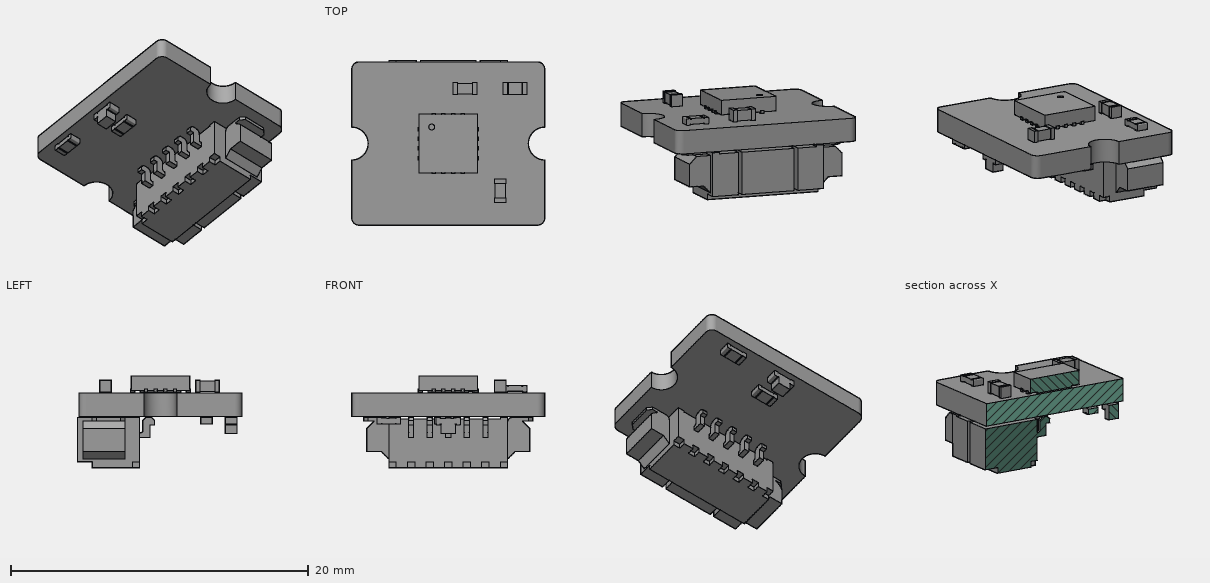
import cadquery as cq


BOARD_X = 13.0
BOARD_Y = 11.0
BOARD_T = 1.6
BOARD_CORNER_R = 0.5
NOTCH_R = 1.1

STANDOFF = 0.05
TOP_SEAT = BOARD_T + STANDOFF
BOTTOM_SEAT = -STANDOFF

CHIP_SIZE = 3.95
CHIP_H = 1.1
CHIP_CLEARANCE = 0.1
LEAD_COUNT = 4
LEAD_PITCH = 0.65
LEAD_W = 0.23
LEAD_L = 0.3
LEAD_H = 0.2
LEAD_OVERHANG = 0.05
THERMAL_PAD = 2.75
THERMAL_PAD_CHAMFER = 0.25
DOT_D = 0.4
DOT_DEPTH = 0.1
DOT_OFFSET = 1.115

TERMINAL_L = 0.3
CHIP_PART_L = 1.6
CHIP_PART_W = 0.8
PLATING = 0.05

CAPACITOR_H = 0.8
CAPACITOR_INSET = 0.04
CAPACITOR_PLACES = [(1.12, 3.7, 0), (3.5, -3.17, 90)]

RESISTOR_H = 0.45
FILM_GAP = 0.05
TOP_RESISTOR_PLACE = (4.5, 3.7)
FRONT_ROW_Y = -4.75
BOTTOM_RESISTOR_PLACES = [(-4.0, FRONT_ROW_Y), (-0.13, -3.1)]

LED_BASE_L = 1.65
LED_BASE_H = 0.5
LENS_L = 0.95
LENS_H = 0.6

HOUSING_W = 8.0
HOUSING_BACK_Y = 1.4
HOUSING_L = 4.2
HOUSING_MOUTH_Y = HOUSING_BACK_Y + HOUSING_L
HOUSING_H = 3.4
HOUSING_BOTTOM = BOTTOM_SEAT - HOUSING_H
LIP_L = 1.0
LIP_STEP = 0.4
RAIL_W = 0.5
RAIL_H = 0.1
KEY_SLOT_X = 2.015
KEY_SLOT_W = 0.27
PIN_PITCH = 1.25
PIN_COUNT = 5
FOOT_NOTCH_W = 0.5
FOOT_NOTCH_L = 0.5
FOOT_NOTCH_H = 0.4

EAR_REACH = 1.5
EAR_BACK_Y = 2.4
EAR_L = 2.8
EAR_TOP = -0.3
EAR_BOTTOM = -2.36
EAR_CHAMFER = 0.5

TAB_T = 0.25
TAB_L = 2.2
TAB_REACH = 1.7
TAB_CHAMFER = 0.3
TAB_FOOT_REACH = 0.8
TAB_H = 1.62
TAB_OUTER_R = 0.3
TAB_INNER_R = 0.05

PIN_W = 0.35
PIN_ARM_TOP = -1.07
PIN_ARM_BOTTOM = -1.42
PIN_ROOT_L = 0.5
PIN_ROOT_BOTTOM = -1.67
PIN_LEG_INNER_Y = 1.2
PIN_LEG_T = 0.5
PIN_TOE_Y = 0.4
PIN_TOE_BOTTOM = -0.57
PIN_CHAMFER = 0.2
PIN_BEND_R = 0.1


def box(length, width, height, x=0.0, y=0.0, z=0.0):
    """Box centred on (x, y) with its underside at z."""
    return cq.Workplane("XY").box(length, width, height, centered=(True, True, False)).translate((x, y, z))


def centred_row(count, pitch):
    """Positions of a row of equally spaced items centred on zero."""
    return [(i - (count - 1) / 2) * pitch for i in range(count)]


def make_board():
    board = box(BOARD_X, BOARD_Y, BOARD_T).edges("|Z").fillet(BOARD_CORNER_R)
    edge_centres = [(-BOARD_X / 2, 0), (BOARD_X / 2, 0)]
    notches = cq.Workplane("XY").pushPoints(edge_centres).circle(NOTCH_R).extrude(BOARD_T)
    return board.cut(notches)


def make_chip():
    chip = box(CHIP_SIZE, CHIP_SIZE, CHIP_H - CHIP_CLEARANCE, z=CHIP_CLEARANCE)
    dot = cq.Workplane("XY", origin=(-DOT_OFFSET, DOT_OFFSET, CHIP_H)).circle(DOT_D / 2).extrude(-DOT_DEPTH)
    chip = chip.cut(dot)
    pad = box(THERMAL_PAD, THERMAL_PAD, CHIP_CLEARANCE)
    pad = pad.edges("|Z and <X and >Y").chamfer(THERMAL_PAD_CHAMFER)
    chip = chip.union(pad)
    lead_x = CHIP_SIZE / 2 + LEAD_OVERHANG - LEAD_L / 2
    for side_angle in (0, 90, 180, 270):
        for y in centred_row(LEAD_COUNT, LEAD_PITCH):
            lead = box(LEAD_L, LEAD_W, LEAD_H, lead_x, y)
            chip = chip.union(lead.rotate((0, 0, 0), (0, 0, 1), side_angle))
    return chip.translate((0, 0, TOP_SEAT))


def make_capacitor(x, y, angle):
    body = box(
        CHIP_PART_L - 2 * TERMINAL_L,
        CHIP_PART_W - 2 * CAPACITOR_INSET,
        CAPACITOR_H - 2 * CAPACITOR_INSET,
        z=CAPACITOR_INSET,
    )
    for side in (-1, 1):
        terminal_x = side * (CHIP_PART_L - TERMINAL_L) / 2
        body = body.union(box(TERMINAL_L, CHIP_PART_W, CAPACITOR_H, terminal_x))
    return body.rotate((0, 0, 0), (0, 0, 1), angle).translate((x, y, TOP_SEAT))


def make_plated_core(length, height):
    """Ceramic core with a C-shaped plated terminal round each end, seated on Z = 0.

    The core's sides are flush with the terminals; the seams stay as face borders.
    """
    core = box(length - 2 * PLATING, CHIP_PART_W, height - 2 * PLATING, z=PLATING)
    part = core
    for side in (-1, 1):
        terminal = box(TERMINAL_L, CHIP_PART_W, height, side * (length - TERMINAL_L) / 2)
        terminal = terminal.edges("|Y").edges(">X" if side > 0 else "<X").fillet(PLATING)
        part = part.union(terminal.cut(core), clean=False)
    return part


def make_resistor():
    film_l = CHIP_PART_L - 2 * (TERMINAL_L + FILM_GAP)
    film = box(film_l, CHIP_PART_W, PLATING, z=RESISTOR_H - PLATING)
    return make_plated_core(CHIP_PART_L, RESISTOR_H).union(film, clean=False)


def make_led():
    lens = box(LENS_L, CHIP_PART_W, LENS_H + PLATING, z=LED_BASE_H - PLATING)
    return make_plated_core(LED_BASE_L, LED_BASE_H).union(lens, clean=False)


def hang_below_board(part, x, y):
    """Turn a part upside down and seat it on the underside of the board."""
    return part.rotate((0, 0, 0), (1, 0, 0), 180).translate((x, y, BOTTOM_SEAT))


def make_housing():
    mid_y = HOUSING_BACK_Y + HOUSING_L / 2
    housing = box(HOUSING_W, HOUSING_L, HOUSING_H, y=mid_y, z=HOUSING_BOTTOM)
    relief = box(HOUSING_W - 2 * RAIL_W, HOUSING_L, RAIL_H, y=mid_y, z=BOTTOM_SEAT - RAIL_H)
    lip_y = HOUSING_MOUTH_Y - LIP_L / 2
    step = box(HOUSING_W, LIP_L, LIP_STEP, y=lip_y, z=HOUSING_BOTTOM)
    housing = housing.cut(relief).cut(step)
    for side in (-1, 1):
        housing = housing.cut(box(KEY_SLOT_W, LIP_L, HOUSING_H, side * KEY_SLOT_X, lip_y, HOUSING_BOTTOM))
    corner_x = (HOUSING_W - FOOT_NOTCH_W) / 2
    notch_y = HOUSING_BACK_Y + FOOT_NOTCH_L / 2
    for x in [-corner_x, *centred_row(PIN_COUNT, PIN_PITCH), corner_x]:
        housing = housing.cut(box(FOOT_NOTCH_W, FOOT_NOTCH_L, FOOT_NOTCH_H, x, notch_y, HOUSING_BOTTOM))
    return housing


def make_ear():
    """Ear on the +X side of the housing."""
    root_x = HOUSING_W / 2
    tip_x = root_x + EAR_REACH
    outline = [
        (root_x, EAR_TOP),
        (tip_x - EAR_CHAMFER, EAR_TOP),
        (tip_x, EAR_TOP - EAR_CHAMFER),
        (tip_x, EAR_BOTTOM),
        (root_x + EAR_CHAMFER, EAR_BOTTOM),
        (root_x, EAR_BOTTOM - EAR_CHAMFER),
    ]
    return cq.Workplane("XZ", origin=(0, EAR_BACK_Y, 0)).polyline(outline).close().extrude(-EAR_L)


def make_tab():
    """Solder tab on the +X side: a C-shaped strip with its back to the housing."""
    root_x = HOUSING_W / 2
    mid_y = EAR_BACK_Y + TAB_L / 2
    bottom = BOTTOM_SEAT - TAB_H
    outer = box(TAB_REACH, TAB_L, TAB_H, root_x + TAB_REACH / 2, mid_y, bottom)
    outer = outer.edges("|Y and <X").fillet(TAB_OUTER_R)
    hollow = box(TAB_REACH, TAB_L, TAB_H - 2 * TAB_T, root_x + TAB_T + TAB_REACH / 2, mid_y, bottom + TAB_T)
    hollow = hollow.edges("|Y and <X").fillet(TAB_INNER_R)
    foot_excess_l = TAB_REACH - TAB_FOOT_REACH
    foot_excess = box(
        foot_excess_l, TAB_L, TAB_H - TAB_T, root_x + TAB_REACH - foot_excess_l / 2, mid_y, bottom
    )
    tab = outer.cut(hollow).cut(foot_excess)
    return tab.edges("|Z and >X").chamfer(TAB_CHAMFER)


def make_pin():
    """Pin on the X = 0 plane: arm out of the housing, leg up to a toe under the board."""
    leg_outer_y = PIN_LEG_INNER_Y - PIN_LEG_T
    toe_shoulder = BOTTOM_SEAT - PIN_CHAMFER
    pin = (
        cq.Workplane("YZ", origin=(-PIN_W / 2, 0, 0))
        .moveTo(HOUSING_BACK_Y, PIN_ARM_BOTTOM)
        .lineTo(leg_outer_y, PIN_ARM_BOTTOM)
        .lineTo(leg_outer_y, PIN_TOE_BOTTOM)
        .lineTo(PIN_TOE_Y, PIN_TOE_BOTTOM)
        .lineTo(PIN_TOE_Y, toe_shoulder)
        .lineTo(PIN_TOE_Y + PIN_CHAMFER, BOTTOM_SEAT)
        .lineTo(PIN_LEG_INNER_Y - PIN_CHAMFER, BOTTOM_SEAT)
        .lineTo(PIN_LEG_INNER_Y, toe_shoulder)
        .lineTo(PIN_LEG_INNER_Y, PIN_ARM_TOP + PIN_BEND_R)
        .radiusArc((PIN_LEG_INNER_Y + PIN_BEND_R, PIN_ARM_TOP), -PIN_BEND_R)
        .lineTo(HOUSING_BACK_Y, PIN_ARM_TOP)
        .close()
        .extrude(PIN_W)
    )
    root_h = PIN_ARM_TOP - PIN_ROOT_BOTTOM
    root = box(PIN_W, PIN_ROOT_L, root_h, y=HOUSING_BACK_Y + PIN_ROOT_L / 2, z=PIN_ROOT_BOTTOM)
    return pin.union(root)


def make_connector():
    """Housing with its ears, solder tabs and pins as one body; flush seams stay as face borders."""
    connector = make_housing()
    tab = make_tab()
    side_parts = [make_ear().cut(tab), tab]
    for part in side_parts:
        connector = connector.union(part, clean=False).union(part.mirror("YZ"), clean=False)
    pin = make_pin()
    for x in centred_row(PIN_COUNT, PIN_PITCH):
        connector = connector.union(pin.translate((x, 0, 0)), clean=False)
    return connector


board = make_board()
chip = make_chip()
capacitors = [make_capacitor(x, y, angle) for x, y, angle in CAPACITOR_PLACES]
resistor = make_resistor()
top_resistor = resistor.translate((*TOP_RESISTOR_PLACE, TOP_SEAT))
bottom_resistors = [hang_below_board(resistor, x, y) for x, y in BOTTOM_RESISTOR_PLACES]
led = hang_below_board(make_led(), 0, FRONT_ROW_Y)
connector = make_connector()

bodies = [board, chip, *capacitors, top_resistor, *bottom_resistors, led, connector]
result = cq.Compound.makeCompound([solid for body in bodies for solid in body.solids().vals()])